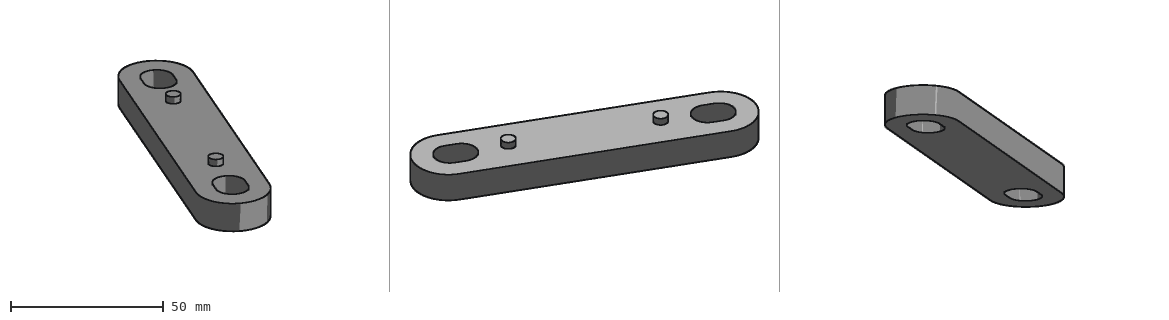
import cadquery as cq

plate_length = 118.0
plate_width = 25.0
plate_height = 10.0

slot_length = 15.0
slot_width = 11.0
slot_end_distance = 15.0
slot_x = plate_length / 2 - slot_end_distance

total_height = 12.5
pin_diameter = 5.0
pin_spacing = 52.0
pin_height = total_height - plate_height


def mirrored_points(x):
    """Return a pair of points on the X axis, symmetric about the plate centre."""
    return [(-x, 0), (x, 0)]


def make_plate():
    """Plate with its bottom face on Z = 0."""
    return cq.Workplane("XY").slot2D(plate_length, plate_width).extrude(plate_height)


def make_slots():
    """Slot cutters reaching from the bottom face to the top face of the plate."""
    centres = cq.Workplane("XY").pushPoints(mirrored_points(slot_x))
    return centres.slot2D(slot_length, slot_width).extrude(plate_height)


def make_pins():
    """Cylindrical pins standing on the top face."""
    top_face = cq.Workplane("XY").workplane(offset=plate_height)
    centres = top_face.pushPoints(mirrored_points(pin_spacing / 2))
    return centres.circle(pin_diameter / 2).extrude(pin_height)


result = make_plate().cut(make_slots()).union(make_pins())